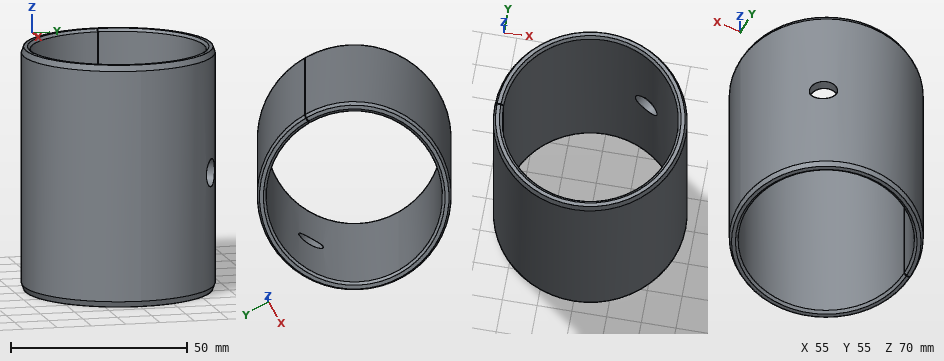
import cadquery as cq

length = 70.0
outer_diameter = 55.0
wall = 2.5
outer_radius = outer_diameter / 2
inner_radius = outer_radius - wall

outer_chamfer_height = 1.7
outer_chamfer_depth = 0.6
inner_chamfer = 0.8

slit_width = 0.3

oil_hole_diameter = 8.0
oil_hole_height = length / 2
oil_hole_angle = 60.0


def bushing_body():
    """Revolve the wall section, chamfered inside and outside at both ends."""
    section = (
        cq.Workplane("XZ")
        .moveTo(inner_radius + inner_chamfer, 0)
        .lineTo(outer_radius - outer_chamfer_depth, 0)
        .lineTo(outer_radius, outer_chamfer_height)
        .lineTo(outer_radius, length - outer_chamfer_height)
        .lineTo(outer_radius - outer_chamfer_depth, length)
        .lineTo(inner_radius + inner_chamfer, length)
        .lineTo(inner_radius, length - inner_chamfer)
        .lineTo(inner_radius, inner_chamfer)
        .close()
    )
    return section.revolve(360, (0, 0, 0), (0, 1, 0))


def joint_slit():
    """Full-height slab that splits the wall on the -X side only."""
    return cq.Workplane("XY").box(
        outer_diameter, slit_width, length, centered=(True, True, False)
    ).translate((-outer_radius, slit_width / 2, 0))


def oil_hole():
    """Cylinder from the axis out through one side of the wall."""
    return (
        cq.Workplane("YZ")
        .center(0, oil_hole_height)
        .circle(oil_hole_diameter / 2)
        .extrude(outer_diameter)
        .rotate((0, 0, 0), (0, 0, 1), oil_hole_angle)
    )


result = bushing_body().cut(joint_slit()).cut(oil_hole())